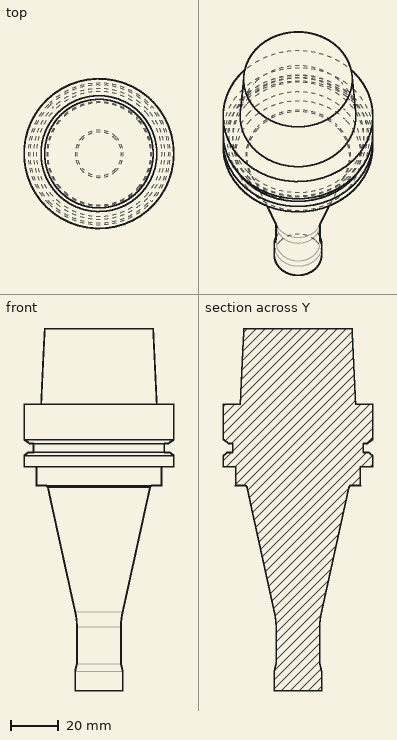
import cadquery as cq

total_height = 152.0
flange_diameter = 63.0
groove_diameter = 55.0
collar_diameter = 52.6
shank_base_diameter = 48.6
shank_top_diameter = 45.6
shoulder_diameter = 44.0
cone_top_diameter = 43.0
cone_bottom_diameter = 20.0
tip_diameter = 20.0
neck_diameter = 18.5

tip_top = 8.2
neck_bottom = 11.4
neck_top = 26.8
cone_bottom = 33.1
shoulder_bottom = 85.5
collar_bottom = 86.0
flange_bottom = 94.0
groove_bottom = 100.0
groove_top = 103.7
flange_top = 120.2

lower_bevel_height = 1.4
lower_bevel_width = 1.7
upper_bevel_height = 1.7
upper_bevel_width = 2.5

flange_radius = flange_diameter / 2

flare_start = (neck_diameter / 2, neck_top)
flare_end = (cone_bottom_diameter / 2, cone_bottom)

outline = (
    cq.Workplane("XZ")
    .lineTo(tip_diameter / 2, 0)
    .lineTo(tip_diameter / 2, tip_top)
    .lineTo(neck_diameter / 2, neck_bottom)
    .lineTo(*flare_start)
    .tangentArcPoint(flare_end, relative=False)
    .lineTo(cone_top_diameter / 2, shoulder_bottom)
    .lineTo(shoulder_diameter / 2, collar_bottom)
    .lineTo(collar_diameter / 2, collar_bottom)
    .lineTo(collar_diameter / 2, flange_bottom)
    .lineTo(flange_radius, flange_bottom)
    .lineTo(flange_radius, groove_bottom - lower_bevel_height)
    .lineTo(flange_radius - lower_bevel_width, groove_bottom)
    .lineTo(groove_diameter / 2, groove_bottom)
    .lineTo(groove_diameter / 2, groove_top)
    .lineTo(flange_radius - upper_bevel_width, groove_top)
    .lineTo(flange_radius, groove_top + upper_bevel_height)
    .lineTo(flange_radius, flange_top)
    .lineTo(shank_base_diameter / 2, flange_top)
    .lineTo(shank_top_diameter / 2, total_height)
    .lineTo(0, total_height)
    .close()
)

result = outline.revolve(360, (0, 0, 0), (0, 1, 0))